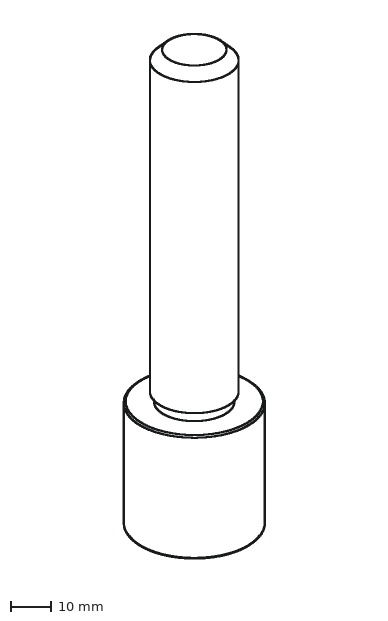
import cadquery as cq

total_length = 135.0
head_diameter = 35.0
head_height = 35.1
shank_diameter = 22.0

groove_diameter = 20.0
groove_width = 2.8

head_chamfer = 0.5
tip_length = 3.0
tip_radius = 8.0

head_radius = head_diameter / 2
shank_radius = shank_diameter / 2
groove_radius = groove_diameter / 2
groove_top = head_height + groove_width
tip_start = total_length - tip_length

head = (
    cq.Workplane("XY")
    .circle(head_radius)
    .extrude(head_height)
    .edges()
    .chamfer(head_chamfer)
)

shank = (
    cq.Workplane("XZ")
    .moveTo(0, head_height)
    .lineTo(groove_radius, head_height)
    .lineTo(groove_radius, groove_top)
    .lineTo(shank_radius, groove_top)
    .lineTo(shank_radius, tip_start)
    .lineTo(tip_radius, total_length)
    .lineTo(0, total_length)
    .close()
    .revolve(360, (0, 0, 0), (0, 1, 0))
)

result = head.union(shank)